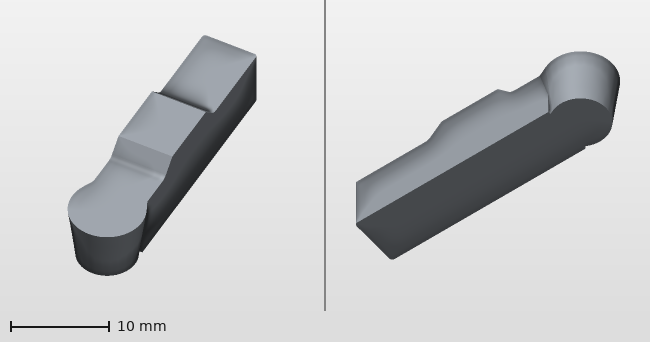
import cadquery as cq
import math

length = 30.52
bar_width = 6.2
bar_height = 6.38
total_height = 8.1
rear_corner_radius = 0.35

pad_top_length = 7.17
pad_rear_setback = 11.1
pad_foot_radius = 1.05

head_radius = 4.013
head_taper = 7.0
flank_angle = 25.0
flank_reach = 4.58
bar_end_offset = 1.77

rear_y = length - head_radius


def make_bar():
    """Side profile with the raised pad, extruded across the bar width."""
    pad_rear_y = rear_y - pad_rear_setback
    pad_front_y = pad_rear_y - pad_top_length
    ramp_run = total_height - bar_height
    bar = (
        cq.Workplane("YZ")
        .moveTo(bar_end_offset, 0)
        .lineTo(rear_y, 0)
        .lineTo(rear_y, bar_height)
        .lineTo(pad_rear_y + ramp_run, bar_height)
        .lineTo(pad_rear_y, total_height)
        .lineTo(pad_front_y, total_height)
        .lineTo(pad_front_y - ramp_run, bar_height)
        .lineTo(bar_end_offset, bar_height)
        .close()
        .extrude(bar_width / 2, both=True)
    )
    for foot_y in (pad_rear_y + ramp_run, pad_front_y - ramp_run):
        foot = cq.selectors.NearestToPointSelector((0, foot_y, bar_height))
        bar = bar.edges("|X").edges(foot).fillet(pad_foot_radius)
    return bar.faces(">Y").edges("|Z").fillet(rear_corner_radius)


def make_head():
    """Arc with two tangent flanks, narrowing downward from the bar top."""
    angle = math.radians(flank_angle)
    tangent_x = head_radius * math.cos(angle)
    tangent_y = head_radius * math.sin(angle)
    reach_x = head_radius / math.cos(angle) - flank_reach * math.tan(angle)
    return (
        cq.Workplane("XY", origin=(0, 0, bar_height))
        .moveTo(-tangent_x, tangent_y)
        .threePointArc((0, -head_radius), (tangent_x, tangent_y))
        .lineTo(reach_x, flank_reach)
        .lineTo(-reach_x, flank_reach)
        .close()
        .extrude(-bar_height, taper=head_taper)
    )


result = make_bar().union(make_head())